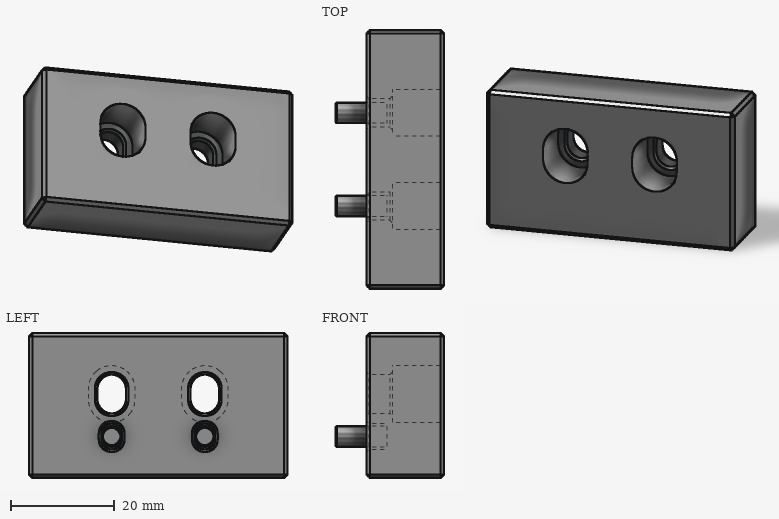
import cadquery as cq

BLOCK_THICKNESS = 15.0
BLOCK_LENGTH = 50.0
BLOCK_HEIGHT = 28.0
BLOCK_CHAMFER = 0.7

COLUMN_SPACING = 18.0
COLUMN_PLACES = (-COLUMN_SPACING / 2, COLUMN_SPACING / 2)
SLOT_CHAMFER = 0.5

SCREW_SLOT_WIDTH = 5.5
SCREW_SLOT_HEIGHT = 7.5
SCREW_SLOT_Z = 16.2
SCREW_SEAT_THICKNESS = 5.0
HEAD_CLEARANCE = 1.75

PIN_DIAMETER = 4.0
PIN_PROJECTION = 6.0
PIN_CHAMFER = 0.3
PIN_Z = 8.0
PIN_SLOT_WIDTH = PIN_DIAMETER
PIN_SLOT_HEIGHT = 5.0
PIN_SLOT_DEPTH = 4.0


def upright_slot(width, height, x_start, depth, y, z):
    """Round-ended slot, tall in Z, running from x_start towards +X."""
    return (
        cq.Workplane("YZ", origin=(x_start, y, z))
        .slot2D(height, width, angle=90)
        .extrude(depth)
    )


def slot_flare(width, height, face_x, y, z, taper_end):
    """45 degree chamfer where a slot meets the face at face_x, narrowing towards the taper_end side."""
    return (
        upright_slot(
            width + 2 * SLOT_CHAMFER,
            height + 2 * SLOT_CHAMFER,
            face_x - SLOT_CHAMFER,
            2 * SLOT_CHAMFER,
            y,
            z,
        )
        .faces(taper_end)
        .chamfer(SLOT_CHAMFER)
    )


def cut_screw_slot(block, y):
    slot_size = (SCREW_SLOT_WIDTH, SCREW_SLOT_HEIGHT)
    through_slot = upright_slot(*slot_size, 0, BLOCK_THICKNESS, y, SCREW_SLOT_Z)
    front_flare = slot_flare(*slot_size, 0, y, SCREW_SLOT_Z, ">X")
    seat_flare = slot_flare(*slot_size, SCREW_SEAT_THICKNESS, y, SCREW_SLOT_Z, "<X")
    head_recess = upright_slot(
        SCREW_SLOT_WIDTH + 2 * HEAD_CLEARANCE,
        SCREW_SLOT_HEIGHT + 2 * HEAD_CLEARANCE,
        SCREW_SEAT_THICKNESS,
        BLOCK_THICKNESS - SCREW_SEAT_THICKNESS,
        y,
        SCREW_SLOT_Z,
    )
    return block.cut(through_slot).cut(front_flare).cut(seat_flare).cut(head_recess)


def cut_pin_slot(block, y):
    slot_size = (PIN_SLOT_WIDTH, PIN_SLOT_HEIGHT)
    blind_slot = upright_slot(*slot_size, 0, PIN_SLOT_DEPTH, y, PIN_Z)
    front_flare = slot_flare(*slot_size, 0, y, PIN_Z, ">X")
    return block.cut(blind_slot).cut(front_flare)


def make_block():
    block = (
        cq.Workplane("XY")
        .box(BLOCK_THICKNESS, BLOCK_LENGTH, BLOCK_HEIGHT, centered=(False, True, False))
        .edges()
        .chamfer(BLOCK_CHAMFER)
    )
    for y in COLUMN_PLACES:
        block = cut_screw_slot(block, y)
        block = cut_pin_slot(block, y)
    return block


def make_pin(y):
    return (
        cq.Workplane("YZ", origin=(-PIN_PROJECTION, y, PIN_Z))
        .circle(PIN_DIAMETER / 2)
        .extrude(PIN_PROJECTION + PIN_SLOT_DEPTH)
        .faces("<X")
        .chamfer(PIN_CHAMFER)
    )


block = make_block()
pins = [make_pin(y) for y in COLUMN_PLACES]

result = cq.Compound.makeCompound([block.val(), *[pin.val() for pin in pins]])